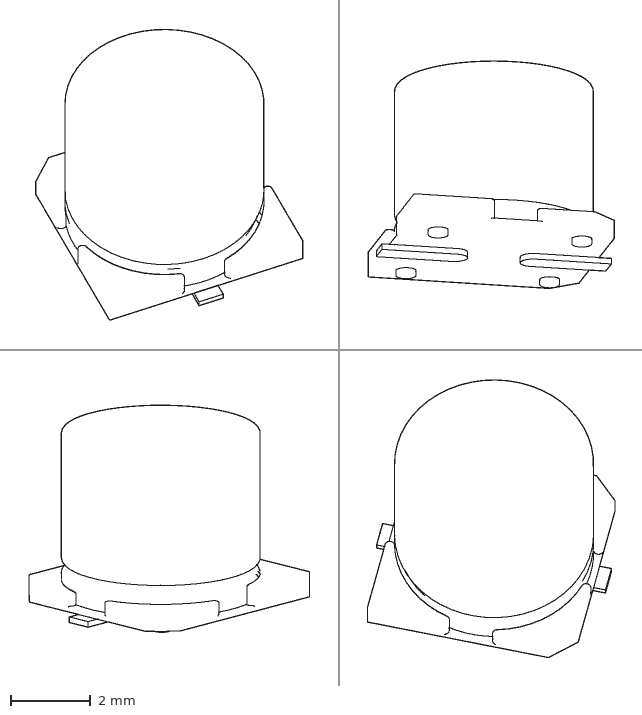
import cadquery as cq
import math

TOTAL_LENGTH = 5.9
TOTAL_HEIGHT = 4.5
BASE_SIDE = 5.3

STANDOFF = 0.15
LEDGE_TOP = 0.31
LOW_BLOCK_TOP = 0.645
HIGH_BLOCK_TOP = 0.815

CAN_RADIUS = 5.0 / 2
GROOVE_RADIUS = 4.5 / 2
GROOVE_BOTTOM = 0.88
GROOVE_TOP = 1.105
CAN_ROUND = 0.1

CORNER_CUT = 0.625
GAP_WIDTH = 1.12
TIP_ROUND = 0.11
EDGE_ROUND = 0.03

FOOT_DIAMETER = 0.5
FOOT_SPACING = 3.695
TERMINAL_WIDTH = 0.66
TERMINAL_GAP = 1.37


def make_can():
    """Turned can with rounded rims and a round-bottomed crimp groove."""
    rim_radius = CAN_RADIUS - CAN_ROUND
    throat_radius = GROOVE_RADIUS + CAN_ROUND
    profile = (
        cq.Workplane("XZ")
        .moveTo(0, LEDGE_TOP)
        .lineTo(CAN_RADIUS, LEDGE_TOP)
        .lineTo(CAN_RADIUS, GROOVE_BOTTOM - CAN_ROUND)
        .radiusArc((rim_radius, GROOVE_BOTTOM), -CAN_ROUND)
        .lineTo(throat_radius, GROOVE_BOTTOM)
        .radiusArc((GROOVE_RADIUS, GROOVE_BOTTOM + CAN_ROUND), CAN_ROUND)
        .lineTo(GROOVE_RADIUS, GROOVE_TOP - CAN_ROUND)
        .radiusArc((throat_radius, GROOVE_TOP), CAN_ROUND)
        .lineTo(rim_radius, GROOVE_TOP)
        .radiusArc((CAN_RADIUS, GROOVE_TOP + CAN_ROUND), -CAN_ROUND)
        .lineTo(CAN_RADIUS, TOTAL_HEIGHT - CAN_ROUND)
        .radiusArc((rim_radius, TOTAL_HEIGHT), -CAN_ROUND)
        .lineTo(0, TOTAL_HEIGHT)
        .close()
    )
    return profile.revolve(360, (0, 0, 0), (0, 1, 0))


def is_block_end(edge):
    """True for an upright edge beside one of the gaps between the blocks."""
    middle = edge.Center()
    return math.isclose(min(abs(middle.x), abs(middle.y)), GAP_WIDTH / 2)


def is_outer_corner(edge):
    """True for an upright edge at a corner of the base outline."""
    middle = edge.Center()
    return min(abs(middle.x), abs(middle.y)) > BASE_SIDE / 2 - CORNER_CUT - EDGE_ROUND


def is_ledge_rim(edge):
    """True for the outer edge of the thin ledge in one of the gaps."""
    middle = edge.Center()
    on_outline = math.isclose(max(abs(middle.x), abs(middle.y)), BASE_SIDE / 2)
    return on_outline and math.isclose(middle.z, LEDGE_TOP)


def lies_at(face, level):
    """True for a face whose middle is at the given height."""
    return math.isclose(face.Center().z, level)


def make_base():
    """Thin plate carrying four corner blocks that wrap around the can."""
    base = (
        cq.Workplane("XY")
        .workplane(offset=STANDOFF)
        .rect(BASE_SIDE, BASE_SIDE)
        .extrude(HIGH_BLOCK_TOP - STANDOFF)
        .edges("|Z and <X")
        .chamfer(CORNER_CUT)
    )

    half_side = BASE_SIDE / 2
    base = base.cut(
        cq.Workplane("XY")
        .workplane(offset=LOW_BLOCK_TOP)
        .center(-half_side / 2, 0)
        .rect(half_side, BASE_SIDE)
        .extrude(HIGH_BLOCK_TOP - LOW_BLOCK_TOP)
    )

    seat_depth = HIGH_BLOCK_TOP - LEDGE_TOP
    ledge = cq.Workplane("XY").workplane(offset=LEDGE_TOP)
    cutter = (
        ledge.circle(CAN_RADIUS).extrude(seat_depth)
        .union(ledge.rect(GAP_WIDTH, BASE_SIDE).extrude(seat_depth))
        .union(ledge.rect(BASE_SIDE, GAP_WIDTH).extrude(seat_depth))
    )
    base = base.cut(cutter)

    base = base.edges("|Z").filter(is_block_end).fillet(TIP_ROUND)

    base = base.edges("|Z").filter(is_outer_corner).fillet(EDGE_ROUND)
    base = base.faces("<Z").edges().fillet(EDGE_ROUND)
    base = base.edges("|X or |Y").filter(is_ledge_rim).fillet(EDGE_ROUND)
    for block_top in (HIGH_BLOCK_TOP, LOW_BLOCK_TOP):
        tops = base.faces("+Z").filter(lambda face: lies_at(face, block_top))
        base = tops.edges().fillet(EDGE_ROUND)
    return base


def make_foot(x, y):
    """Short round foot, with a rounded rim at the bottom."""
    return (
        cq.Workplane("XY")
        .center(x, y)
        .circle(FOOT_DIAMETER / 2)
        .extrude(STANDOFF)
        .faces("<Z")
        .edges()
        .fillet(EDGE_ROUND)
    )


def make_terminal(side):
    """Flat terminal with a round inner end; side is -1 or +1 along X."""
    end_radius = TERMINAL_WIDTH / 2
    round_centre = TERMINAL_GAP / 2 + end_radius
    tip = TOTAL_LENGTH / 2
    return (
        cq.Workplane("XY")
        .moveTo(side * tip, -end_radius)
        .lineTo(side * round_centre, -end_radius)
        .threePointArc((side * TERMINAL_GAP / 2, 0), (side * round_centre, end_radius))
        .lineTo(side * tip, end_radius)
        .close()
        .extrude(STANDOFF)
    )


result = make_can().union(make_base())
for side in (-1, 1):
    result = result.union(make_terminal(side))
    for foot_side in (-1, 1):
        result = result.union(make_foot(side * FOOT_SPACING / 2, foot_side * FOOT_SPACING / 2))